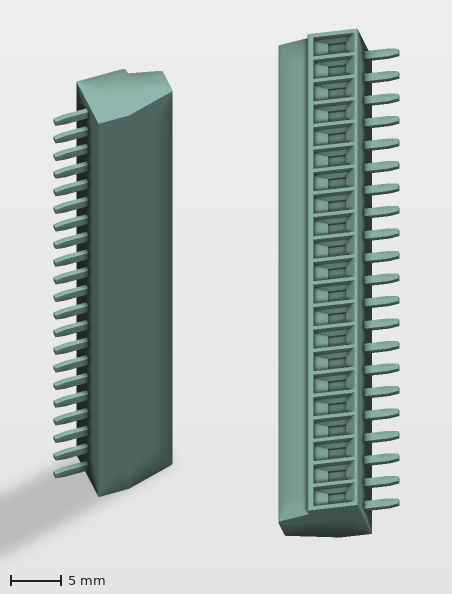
import cadquery as cq

length = 53.8
pole_count = 21
pole_span = 50.8
end_margin = (length - pole_span) / 2
pitch = pole_span / (pole_count - 1)
pole_heights = [end_margin + i * pitch for i in range(pole_count)]

width = 6.2
body_height = 8.5
shelf_height = 5.15
shelf_width = 0.75
crown_left = 1.6
crown_right = 4.55
knee_height = 3.25
edge_radius = 0.25

pin_length = 3.5
pin_thickness = 0.55
pin_width = 0.85
pin_tip_width = 0.55
pin_tip_length = 1.0
pin_root = 0.55
pin_x = width / 2

mouth_low = 0.3
mouth_high = 4.5
mouth_height = 2.15

socket_low = 1.45
socket_high = 3.3
socket_height = 1.45
socket_depth = 0.3

funnel_depth = 1.1
high_wall_start = 0.75
side_wall_start = 0.7


def make_housing():
    profile = [
        (0, 0),
        (width, 0),
        (width, knee_height),
        (crown_right, body_height),
        (crown_left, body_height),
        (shelf_width, shelf_height),
        (0, shelf_height),
    ]
    housing = cq.Workplane("XY").polyline(profile).close().extrude(length)
    middle = length / 2
    for corner in [(crown_right, body_height), (crown_left, body_height), (0, shelf_height)]:
        edge = cq.selectors.NearestToPointSelector((*corner, middle))
        housing = housing.edges("|Z").edges(edge).fillet(edge_radius)
    return housing


def make_pin():
    half = pin_width / 2
    half_tip = pin_tip_width / 2
    taper_start = pin_tip_length - pin_length
    outline = [
        (pin_root, half),
        (taper_start, half),
        (-pin_length, half_tip),
        (-pin_length, -half_tip),
        (taper_start, -half),
        (pin_root, -half),
    ]
    left_side = pin_x - pin_thickness / 2
    return cq.Workplane("YZ", origin=(left_side, 0, 0)).polyline(outline).close().extrude(pin_thickness)


def make_entry():
    half_mouth = mouth_height / 2
    half_socket = socket_height / 2

    lengthwise = (
        cq.Workplane("XY", origin=(0, 0, -half_mouth))
        .polyline([
            (0, mouth_low),
            (funnel_depth, socket_low),
            (funnel_depth, socket_high),
            (high_wall_start, mouth_high),
            (0, mouth_high),
        ])
        .close()
        .extrude(mouth_height)
    )
    crosswise = (
        cq.Workplane("XZ")
        .polyline([
            (0, half_mouth),
            (side_wall_start, half_mouth),
            (funnel_depth, half_socket),
            (funnel_depth, -half_socket),
            (side_wall_start, -half_mouth),
            (0, -half_mouth),
        ])
        .close()
        .extrude(-body_height)
    )
    socket = cq.Workplane("XY").box(
        funnel_depth + socket_depth,
        socket_high - socket_low,
        socket_height,
        centered=(False, False, True),
    ).translate((0, socket_low, 0))
    return lengthwise.intersect(crosswise).union(socket)


pin = make_pin()
entry = make_entry()
result = make_housing()
for z in pole_heights:
    result = result.cut(entry.translate((0, 0, z))).union(pin.translate((0, 0, z)))